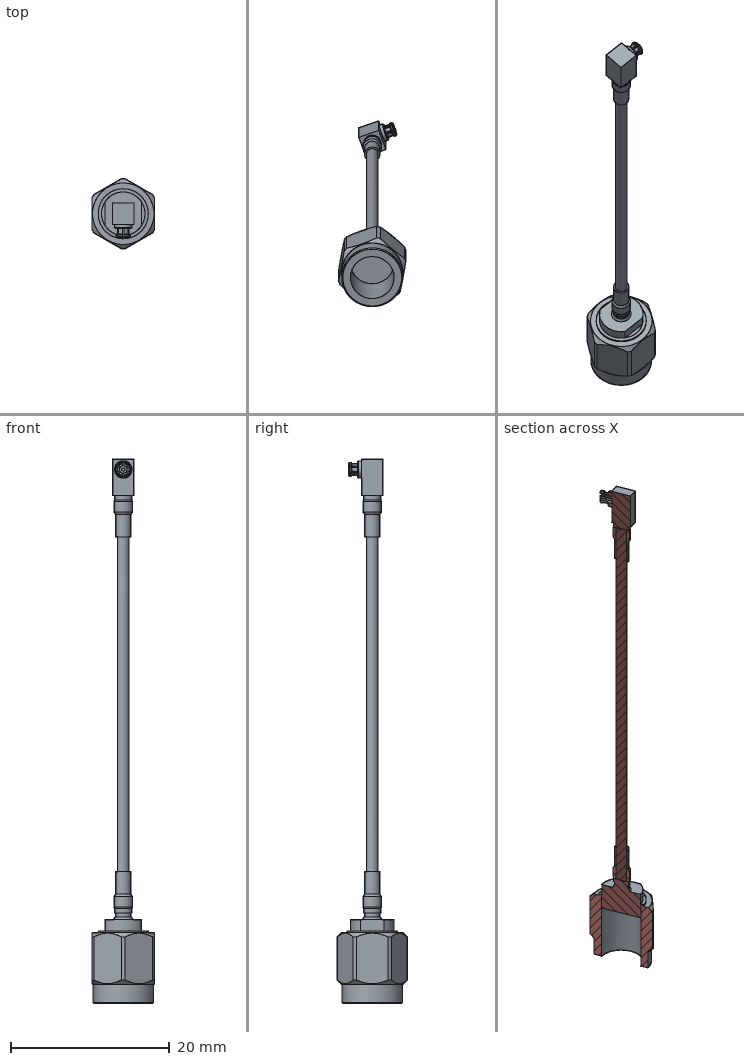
import cadquery as cq
import math

TOTAL_HEIGHT = 68.65

NUT_ACROSS_FLATS = 7.9
NUT_ACROSS_CORNERS = 8.85
NUT_CHAMFER = 0.55
NUT_TOP = 8.9
SKIRT_RADIUS = 3.85
SKIRT_HEIGHT = 2.4
SKIRT_EDGE_CHAMFER = 0.15
LIP_RADIUS = 3.15
LIP_HEIGHT = 0.2

BODY_RADIUS = 2.75
BODY_FLAT_WIDTH = 4.6
BODY_TOP = 10.6
BODY_SEAT_DEPTH = 2.05
NECK_RADIUS = 0.95
NECK_FOOT_RADIUS = 1.25
NECK_FOOT_TOP_RADIUS = 1.0
NECK_FOOT_HEIGHT = 0.35
NECK_TOP = 11.4

COLLAR_RADIUS = 1.1
COLLAR_LENGTH = 0.55

SLEEVE_LENGTH = 4.7
SLEEVE_WIDE_LENGTH = 1.85
SLEEVE_TAPER_LENGTH = 0.35
SLEEVE_WIDE_RADIUS = 1.2
SLEEVE_NARROW_RADIUS = 0.95
SLEEVE_CHAMFER_LENGTH = 0.2
SLEEVE_CHAMFER_DEPTH = 0.1

CABLE_RADIUS = 0.75

BLOCK_SIDE = 2.7
BLOCK_HEIGHT = 4.6
PLUG_AXIS_DROP = 1.3
PLUG_FLANGE_RADIUS = 1.1
PLUG_FLANGE_LENGTH = 0.55
PLUG_FLANGE_CHAMFER = 0.15
PLUG_TIP_RADIUS = 0.9
PLUG_WAIST_RADIUS = 0.75
PLUG_TIP_LENGTH = 0.5
PLUG_TIP_CHAMFER = 0.15
PLUG_REACH = 3.0
PLUG_BORE_RADIUS = 0.5
SLOT_WIDTH = 0.2
SLOT_COUNT = 6
PIN_RADIUS = 0.2

LIP_TOP = NUT_TOP + LIP_HEIGHT
SCREW_COLLAR_END = NECK_TOP + COLLAR_LENGTH
BLOCK_BOTTOM = TOTAL_HEIGHT - BLOCK_HEIGHT
SNAP_COLLAR_END = BLOCK_BOTTOM - COLLAR_LENGTH
PLUG_AXIS_Z = TOTAL_HEIGHT - PLUG_AXIS_DROP
BLOCK_FACE = BLOCK_SIDE / 2


def rod(radius, bottom, top):
    """Round bar on the cable axis between two heights."""
    return cq.Workplane("XY").workplane(offset=bottom).circle(radius).extrude(top - bottom)


def plug_rod(radius, start, end):
    """Round bar on the plug axis, between two distances from the cable axis toward -Y."""
    plane = cq.Plane(origin=(0, -start, PLUG_AXIS_Z), xDir=(1, 0, 0), normal=(0, -1, 0))
    return cq.Workplane(plane).circle(radius).extrude(end - start)


def make_nut():
    """Hexagon nut with chamfered corners, a round skirt below and a low lip on top."""
    hexagon_diameter = NUT_ACROSS_FLATS / math.cos(math.radians(30))
    hexagon = (
        cq.Workplane("XY")
        .workplane(offset=SKIRT_HEIGHT)
        .polygon(6, hexagon_diameter)
        .extrude(NUT_TOP - SKIRT_HEIGHT)
        .rotate((0, 0, 0), (0, 0, 1), 30)
    )
    corner_trim = rod(NUT_ACROSS_CORNERS / 2, SKIRT_HEIGHT, NUT_TOP).edges().chamfer(NUT_CHAMFER)
    skirt = rod(SKIRT_RADIUS, 0, SKIRT_HEIGHT).faces("<Z").edges().chamfer(SKIRT_EDGE_CHAMFER)
    lip = rod(LIP_RADIUS, NUT_TOP, LIP_TOP)
    bore = rod(BODY_RADIUS, 0, LIP_TOP)
    return hexagon.intersect(corner_trim).union(skirt).union(lip).cut(bore)


def make_screw_body():
    """Body seated in the nut: a round with two flats above the lip, a neck and a collar."""
    barrel = rod(BODY_RADIUS, LIP_TOP - BODY_SEAT_DEPTH, BODY_TOP)
    for side in (-1, 1):
        flat_cut = cq.Workplane("XY").box(
            BODY_RADIUS, 2 * BODY_RADIUS, BODY_TOP - LIP_TOP, centered=(True, True, False)
        )
        flat_cut_x = side * (BODY_FLAT_WIDTH + BODY_RADIUS) / 2
        barrel = barrel.cut(flat_cut.translate((flat_cut_x, 0, LIP_TOP)))
    foot = cq.Workplane("XY").add(
        cq.Solid.makeCone(
            NECK_FOOT_RADIUS, NECK_FOOT_TOP_RADIUS, NECK_FOOT_HEIGHT, pnt=cq.Vector(0, 0, BODY_TOP)
        )
    )
    neck = rod(NECK_RADIUS, BODY_TOP, NECK_TOP)
    collar = rod(COLLAR_RADIUS, NECK_TOP, SCREW_COLLAR_END)
    return barrel.union(foot).union(neck).union(collar)


def make_sleeve(start, direction):
    """Stepped tube around the cable, its wide end against a collar at height start."""
    wide = rod(SLEEVE_WIDE_RADIUS, 0, SLEEVE_WIDE_LENGTH)
    wide = wide.faces("<Z").edges().chamfer(SLEEVE_CHAMFER_LENGTH, SLEEVE_CHAMFER_DEPTH)
    taper_depth = SLEEVE_WIDE_RADIUS - SLEEVE_NARROW_RADIUS
    wide = wide.faces(">Z").edges().chamfer(SLEEVE_TAPER_LENGTH, taper_depth)
    outer = wide.union(rod(SLEEVE_NARROW_RADIUS, SLEEVE_WIDE_LENGTH / 2, SLEEVE_LENGTH))
    sleeve = outer.cut(rod(CABLE_RADIUS, 0, SLEEVE_LENGTH))
    if direction < 0:
        sleeve = sleeve.mirror("XY")
    return sleeve.translate((0, 0, start))


def make_snap_body():
    """Square block with a collar below and a slotted round plug toward -Y."""
    block = (
        cq.Workplane("XY")
        .workplane(offset=BLOCK_BOTTOM)
        .rect(BLOCK_SIDE, BLOCK_SIDE)
        .extrude(BLOCK_HEIGHT)
    )
    collar = rod(COLLAR_RADIUS, SNAP_COLLAR_END, BLOCK_BOTTOM)
    flange_end = BLOCK_FACE + PLUG_FLANGE_LENGTH
    flange = plug_rod(PLUG_FLANGE_RADIUS, BLOCK_FACE, flange_end)
    flange = flange.faces("<Y").edges().chamfer(PLUG_FLANGE_CHAMFER)
    tip = plug_rod(PLUG_TIP_RADIUS, PLUG_REACH - PLUG_TIP_LENGTH, PLUG_REACH)
    tip = tip.edges().chamfer(PLUG_TIP_CHAMFER)
    plug = (
        flange.union(plug_rod(PLUG_WAIST_RADIUS, flange_end, PLUG_REACH))
        .union(tip)
        .cut(plug_rod(PLUG_BORE_RADIUS, BLOCK_FACE, PLUG_REACH))
    )
    slot_length = PLUG_REACH - flange_end
    for index in range(SLOT_COUNT):
        slot = (
            cq.Workplane("XY")
            .box(SLOT_WIDTH, slot_length, PLUG_TIP_RADIUS, centered=(True, False, False))
            .rotate((0, 0, 0), (0, 1, 0), index * 360 / SLOT_COUNT)
            .translate((0, -PLUG_REACH, PLUG_AXIS_Z))
        )
        plug = plug.cut(slot)
    return block.union(collar).union(plug)


nut = make_nut()
screw_body = make_screw_body()
cable = rod(CABLE_RADIUS, SCREW_COLLAR_END, SNAP_COLLAR_END)
sleeves = [make_sleeve(SCREW_COLLAR_END, 1), make_sleeve(SNAP_COLLAR_END, -1)]
snap_body = make_snap_body()
pin = plug_rod(PIN_RADIUS, BLOCK_FACE, PLUG_REACH)

result = cq.Compound.makeCompound(
    [
        nut.val(),
        screw_body.val(),
        cable.val(),
        *[sleeve.val() for sleeve in sleeves],
        snap_body.val(),
        pin.val(),
    ]
)